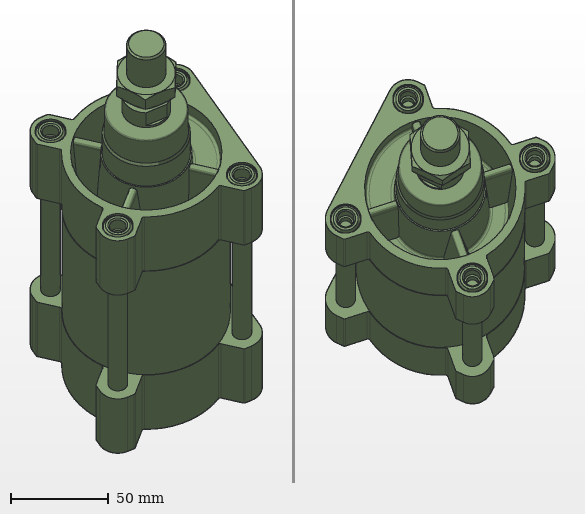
import cadquery as cq
import math

total_height = 257.5

cap_height = 42.8
cap_diameter = 86.5
lower_cap_z = 5.0
upper_cap_top_z = 172.0
cap_width = 93.0
ear_offset = 36.0
ear_edge_fillet = 1.3

barrel_diameter = 86.0
tie_rod_diameter = 10.0

collar_diameter = 45.0
collar_shoulder_z = 187.5
collar_taper_base_z = 189.0
collar_taper_base_diameter = 43.3
collar_top_diameter = 42.5
collar_top_fillet = 0.5
collar_top_z = 206.3

boss_chamfer = 0.8

pocket_diameter = 77.3
hub_diameter = 46.5
pocket_depth = 36.0
pocket_wall_inset = 3.9
pocket_hub_flare = 1.8
pocket_fillet = 1.67
shallow_pocket_depth = 7.5
rib_top_depth = 1.8
rib_top_radius = 2.2
rib_base_half_width = 6.5
rib_embedment = 1.3

groove_outer_diameter = 15.7
groove_floor_diameter = 15.0
groove_inner_diameter = 12.5
groove_depth = 1.3
socket_mouth_depth = 0.8
socket_mouth_diameter = 10.0
socket_diameter = 8.5
socket_step_depth = 7.7
socket_bore_diameter = 6.5
socket_depth = 13.0

rod_diameter = 25.0
rod_shoulder_z = 218.0
wrench_flat_width = 22.0
wrench_flat_bottom_z = 208.0
thread_diameter = 20.0
thread_chamfer = 1.0
thread_end_z = 223.3
neck_diameter = 18.3
neck_top_z = 220.2
neck_fillet = 0.8

nut_bottom_z = 225.0
nut_height = 10.0
nut_width = 30.0
nut_face_diameter = 29.5
nut_chamfer_angle = 30.0

upper_cap_z = upper_cap_top_z - cap_height
lower_cap_top_z = lower_cap_z + cap_height
rod_bottom_z = upper_cap_z
ear_reach = cap_width / 2
ear_radius = ear_reach - ear_offset
rib_reach = pocket_diameter / 2 + rib_embedment
diagonal_angles = (45, 135, 225, 315)
ear_centers = [(x, y) for x in (-ear_offset, ear_offset) for y in (-ear_offset, ear_offset)]


def cylinder(diameter, bottom_z, top_z):
    return cq.Workplane("XY", origin=(0, 0, bottom_z)).circle(diameter / 2).extrude(top_z - bottom_z)


def revolved(points):
    """Solid of revolution about Z from (radius, z) points."""
    return cq.Workplane("XZ").polyline(points).close().revolve(360, (0, 0, 0), (0, 1, 0))


def ear(angle):
    """Lug along the diagonal at the given angle, with its outer corner rounded about the tie rod."""
    strip_length = 2 * ear_reach
    strip = (
        cq.Workplane("XY")
        .center(strip_length / 2, 0)
        .rect(strip_length, 2 * ear_radius)
        .extrude(cap_height)
        .rotate((0, 0, 0), (0, 0, 1), angle)
    )
    envelope = (
        cq.Workplane("XY")
        .rect(2 * ear_reach, 2 * ear_reach)
        .extrude(cap_height)
        .edges("|Z")
        .fillet(ear_radius)
    )
    return strip.intersect(envelope)


def cap(bottom_z):
    """End cap: core with four ears, their roots and corners filleted, filled out to a flat on +Y."""
    blank = cq.Workplane("XY").circle(cap_diameter / 2).extrude(cap_height)
    for angle in diagonal_angles:
        blank = blank.union(ear(angle))
    within_ears = ear_offset - ear_edge_fillet
    facing_y = cq.selectors.BoxSelector(
        (-within_ears, -2 * ear_reach, 0), (within_ears, 2 * ear_reach, cap_height)
    )
    facing_x = cq.selectors.BoxSelector(
        (-2 * ear_reach, -within_ears, 0), (2 * ear_reach, within_ears, cap_height)
    )
    blank = blank.edges("|Z").edges(facing_y + facing_x).fillet(ear_edge_fillet)
    flat_side = (
        cq.Workplane("XY")
        .center(0, ear_reach / 2)
        .rect(2 * ear_offset, ear_reach)
        .extrude(cap_height)
    )
    return blank.union(flat_side).translate((0, 0, bottom_z))


def pocket_ring(depth):
    """Drafted annular cutter between the hub and the cap wall, with rounded floor edges."""
    depth_ratio = depth / pocket_depth
    floor_z = upper_cap_top_z - depth
    wall_radius = pocket_diameter / 2
    hub_radius = hub_diameter / 2
    ring = revolved([
        (hub_radius, upper_cap_top_z),
        (wall_radius, upper_cap_top_z),
        (wall_radius - pocket_wall_inset * depth_ratio, floor_z),
        (hub_radius + pocket_hub_flare * depth_ratio, floor_z),
    ])
    return ring.faces("<Z").edges().fillet(pocket_fillet)


def rib(angle):
    """Drafted rib with a full-round top, from the axis outward at the given angle."""
    base_z = upper_cap_top_z - pocket_depth
    crest_z = upper_cap_top_z - rib_top_depth
    side_top_z = crest_z - rib_top_radius
    profile = (
        cq.Workplane("YZ")
        .moveTo(-rib_base_half_width, base_z)
        .lineTo(-rib_top_radius, side_top_z)
        .threePointArc((0, crest_z), (rib_top_radius, side_top_z))
        .lineTo(rib_base_half_width, base_z)
        .close()
    )
    return profile.extrude(rib_reach).rotate((0, 0, 0), (0, 0, 1), angle)


def shallow_quarter_fill():
    """Block that raises the +Y quarter of the pocket to its shallow floor."""
    quarter = (
        cq.Workplane("XY", origin=(0, 0, upper_cap_top_z - pocket_depth))
        .polyline([(0, 0), (ear_reach, ear_reach), (-ear_reach, ear_reach)])
        .close()
        .extrude(pocket_depth)
    )
    disc = cylinder(2 * rib_reach, upper_cap_top_z - pocket_depth, upper_cap_top_z)
    return disc.intersect(quarter).cut(pocket_ring(shallow_pocket_depth))


def pocketed(body):
    """Cut the ring pocket into the upper cap, then fill its +Y quarter and add the ribs."""
    body = body.cut(pocket_ring(pocket_depth)).union(shallow_quarter_fill())
    for angle in diagonal_angles:
        body = body.union(rib(angle))
    return body


def tie_rod_end():
    """Cutter for the ring groove and stepped socket at one tie rod end."""
    top_z = upper_cap_top_z
    groove = revolved([
        (groove_inner_diameter / 2, top_z),
        (groove_outer_diameter / 2, top_z),
        (groove_outer_diameter / 2, top_z - groove_depth),
        (groove_floor_diameter / 2, top_z - groove_depth),
    ])
    socket = revolved([
        (0, top_z),
        (socket_mouth_diameter / 2, top_z),
        (socket_diameter / 2, top_z - socket_mouth_depth),
        (socket_diameter / 2, top_z - socket_step_depth),
        (socket_bore_diameter / 2, top_z - socket_step_depth),
        (socket_bore_diameter / 2, top_z - socket_depth),
        (0, top_z - socket_depth),
    ])
    return groove.union(socket)


def collar():
    """Guide collar on the upper cap: straight base, short cone and tapered nose with a rounded rim."""
    base_radius = collar_diameter / 2
    blank = revolved([
        (0, upper_cap_z),
        (base_radius, upper_cap_z),
        (base_radius, collar_shoulder_z),
        (collar_taper_base_diameter / 2, collar_taper_base_z),
        (collar_top_diameter / 2, collar_top_z),
        (0, collar_top_z),
    ])
    return blank.faces(">Z").edges().fillet(collar_top_fillet)


def make_housing():
    body = cap(lower_cap_z).union(cap(upper_cap_z))
    body = body.union(cylinder(barrel_diameter, lower_cap_top_z, upper_cap_z))
    for x, y in ear_centers:
        tie_rod = cylinder(tie_rod_diameter, lower_cap_top_z, upper_cap_z)
        body = body.union(tie_rod.translate((x, y, 0)))
    body = pocketed(body)
    body = body.union(collar())
    boss = cylinder(collar_diameter, 0, lower_cap_z).faces("<Z").chamfer(boss_chamfer)
    body = body.union(boss)
    for x, y in ear_centers:
        body = body.cut(tie_rod_end().translate((x, y, 0)))
    return body.cut(cylinder(rod_diameter, rod_bottom_z, collar_top_z))


def make_piston_rod():
    """Stepped rod with two wrench flats facing -X and +X, a neck and a threaded end."""
    thread_radius = thread_diameter / 2
    rod = revolved([
        (0, rod_bottom_z),
        (rod_diameter / 2, rod_bottom_z),
        (rod_diameter / 2, rod_shoulder_z),
        (neck_diameter / 2, rod_shoulder_z),
        (neck_diameter / 2, neck_top_z),
        (thread_radius, thread_end_z),
        (thread_radius, total_height - thread_chamfer),
        (thread_radius - thread_chamfer, total_height),
        (0, total_height),
    ])
    rod = rod.edges(cq.selectors.RadiusNthSelector(1)).edges("<Z").fillet(neck_fillet)
    flat_height = rod_shoulder_z - wrench_flat_bottom_z
    between_flats = (
        cq.Workplane("XY", origin=(0, 0, wrench_flat_bottom_z))
        .rect(wrench_flat_width, rod_diameter)
        .extrude(flat_height)
    )
    outside_flats = cylinder(2 * rod_diameter, wrench_flat_bottom_z, rod_shoulder_z).cut(between_flats)
    return rod.cut(outside_flats)


def make_lock_nut():
    """Hexagonal nut with corners on the Y axis, its corners beveled at both faces."""
    corner_radius = nut_width / math.sqrt(3)
    face_radius = nut_face_diameter / 2
    bevel_height = (corner_radius - face_radius) * math.tan(math.radians(nut_chamfer_angle))
    nut_top_z = nut_bottom_z + nut_height
    hexagon = (
        cq.Workplane("XY", origin=(0, 0, nut_bottom_z))
        .polygon(6, 2 * corner_radius)
        .extrude(nut_height)
        .rotate((0, 0, 0), (0, 0, 1), 90)
    )
    bevel_envelope = revolved([
        (0, nut_bottom_z),
        (face_radius, nut_bottom_z),
        (corner_radius, nut_bottom_z + bevel_height),
        (corner_radius, nut_top_z - bevel_height),
        (face_radius, nut_top_z),
        (0, nut_top_z),
    ])
    return hexagon.intersect(bevel_envelope).cut(cylinder(thread_diameter, nut_bottom_z, nut_top_z))


piston_rod = make_piston_rod()
housing = make_housing()
lock_nut = make_lock_nut()

result = cq.Compound.makeCompound([housing.val(), piston_rod.val(), lock_nut.val()])